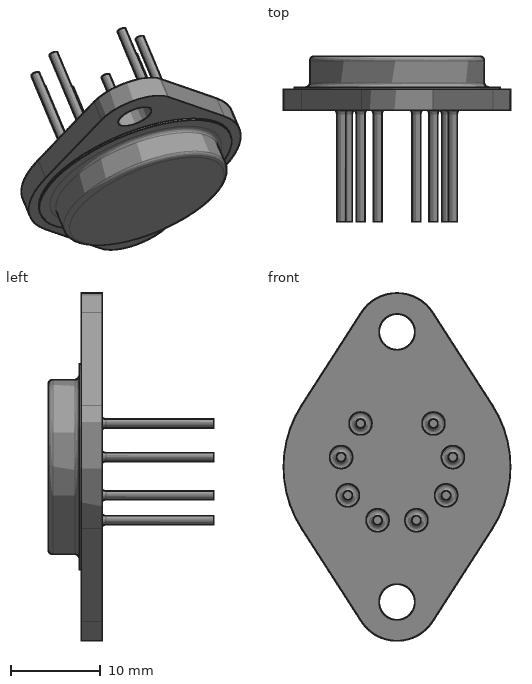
import cadquery as cq
import math

flange_length = 38.85
flange_width = 25.38
flange_thickness = 2.37
tip_radius = 4.75

mount_hole_diameter = 3.95
mount_hole_pitch = 30.15

cap_radius = 9.75
cap_height = 3.7
brim_radius = 11.5
brim_thickness = 0.25
cap_edge_radius = 0.5
brim_fillet_radius = 0.5

lead_radius = 0.5
lead_length = 12.45
lead_circle_radius = 6.35
lead_positions = 9
empty_position_angle = 90.0

seal_radius = 1.3
seal_depth = 0.4
meniscus_radius = 0.45


def cylinder(radius, y_start, y_end):
    """Round bar along +Y, centred on x = z = 0."""
    return cq.Workplane("XZ", origin=(0, y_start, 0)).circle(radius).extrude(y_start - y_end)


def flange_plate():
    """Rhombic flange: two side arcs and two tip arcs joined by tangent lines."""
    side_radius = flange_width / 2
    half_length = flange_length / 2
    tip_centre = half_length - tip_radius
    tangent_angle = math.asin((side_radius - tip_radius) / tip_centre)
    side_x = side_radius * math.cos(tangent_angle)
    side_z = side_radius * math.sin(tangent_angle)
    tip_x = tip_radius * math.cos(tangent_angle)
    tip_z = tip_centre + tip_radius * math.sin(tangent_angle)

    return (
        cq.Workplane("XZ")
        .moveTo(side_x, -side_z)
        .threePointArc((side_radius, 0), (side_x, side_z))
        .lineTo(tip_x, tip_z)
        .threePointArc((0, half_length), (-tip_x, tip_z))
        .lineTo(-side_x, side_z)
        .threePointArc((-side_radius, 0), (-side_x, -side_z))
        .lineTo(-tip_x, -tip_z)
        .threePointArc((0, -half_length), (tip_x, -tip_z))
        .close()
        .extrude(-flange_thickness)
    )


def sealed_lead():
    """Lead with its round seal; the seal surface is a concave ring tangent to the lead."""
    arc_centre_x = lead_radius + meniscus_radius
    arc_centre_y = -math.sqrt(meniscus_radius**2 - (seal_radius - arc_centre_x) ** 2)
    arc_low_point = (arc_centre_x, arc_centre_y + meniscus_radius)

    return (
        cq.Workplane("XY")
        .moveTo(0, -lead_length)
        .lineTo(lead_radius, -lead_length)
        .lineTo(lead_radius, arc_centre_y)
        .threePointArc(arc_low_point, (seal_radius, 0))
        .lineTo(seal_radius, seal_depth)
        .lineTo(0, seal_depth)
        .close()
        .revolve(360, (0, 0, 0), (0, 1, 0))
    )


def lead_centres():
    """Lead places in the XZ plane, as (x, 0, z) offsets."""
    step = 360 / lead_positions
    angles = [math.radians(empty_position_angle + i * step) for i in range(1, lead_positions)]
    return [(lead_circle_radius * math.cos(a), 0, lead_circle_radius * math.sin(a)) for a in angles]


def make_header():
    """Flange with its two mounting holes and eight sealed leads, one solid."""
    body = flange_plate()
    for side in (-1, 1):
        hole = cylinder(mount_hole_diameter / 2, 0, flange_thickness)
        body = body.cut(hole.translate((0, 0, side * mount_hole_pitch / 2)))

    seal_pocket = cylinder(seal_radius, 0, seal_depth)
    lead = sealed_lead()
    for centre in lead_centres():
        body = body.cut(seal_pocket.translate(centre))
        body = body.union(lead.translate(centre))
    return body


def make_cap():
    """Round cap on a thin brim, seated on the back of the flange."""
    brim_top = flange_thickness + brim_thickness
    cap_top = flange_thickness + cap_height
    brim = cylinder(brim_radius, flange_thickness, brim_top)
    can = cylinder(cap_radius, brim_top, cap_top).faces(">Y").edges().fillet(cap_edge_radius)
    cap = brim.union(can)
    brim_corner = cap.faces("<Y[1]").edges(cq.selectors.RadiusNthSelector(0))
    return brim_corner.fillet(brim_fillet_radius)


header = make_header()
cap = make_cap()

result = cq.Compound.makeCompound([header.val(), cap.val()])